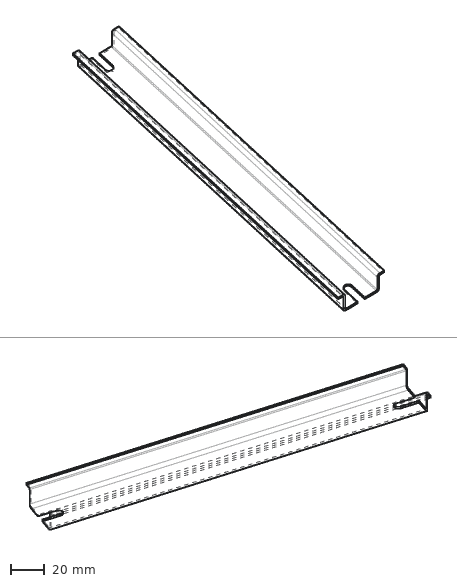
import cadquery as cq

length = 251.0
rail_width = 35.0
height = 15.0

thickness = 1.5
channel_width = 27.0
inner_bend = 0.63
outer_bend = inner_bend + thickness

slot_width = 5.5
slot_depth = 15.0


def block(width, block_height, bottom):
    """Full-length bar centred in Y, standing on the given Z level."""
    return (
        cq.Workplane("XY")
        .workplane(offset=bottom)
        .box(length, width, block_height, centered=(True, True, False))
    )


def rail():
    """Top-hat section with rounded bends at the floor and at the flanges."""
    flange_bottom = height - thickness
    inner_width = channel_width - 2 * thickness
    half_channel = channel_width / 2

    outside = block(channel_width, height, 0).union(block(rail_width, thickness, flange_bottom))
    outside = outside.edges(cq.selectors.BoxSelector(
        (-length, -half_channel - thickness / 4, -thickness / 4),
        (length, half_channel + thickness / 4, thickness / 4),
    )).edges("|X").fillet(outer_bend)
    for side in (-1, 1):
        corner = cq.selectors.NearestToPointSelector((0, side * half_channel, flange_bottom))
        outside = outside.edges("|X").edges(corner).fillet(inner_bend)

    cavity = block(inner_width, flange_bottom, thickness).edges("|X and <Z").fillet(inner_bend)
    body = outside.cut(cavity)
    for side in (-1, 1):
        lip = cq.selectors.NearestToPointSelector((0, side * inner_width / 2, height))
        body = body.edges("|X").edges(lip).fillet(outer_bend)
    return body


def end_slot(side):
    """Slot with a round inner end, open at one end of the rail."""
    return (
        cq.Workplane("XY")
        .center(side * length / 2, 0)
        .slot2D(2 * slot_depth, slot_width)
        .extrude(2 * thickness)
    )


result = rail().cut(end_slot(-1)).cut(end_slot(1))